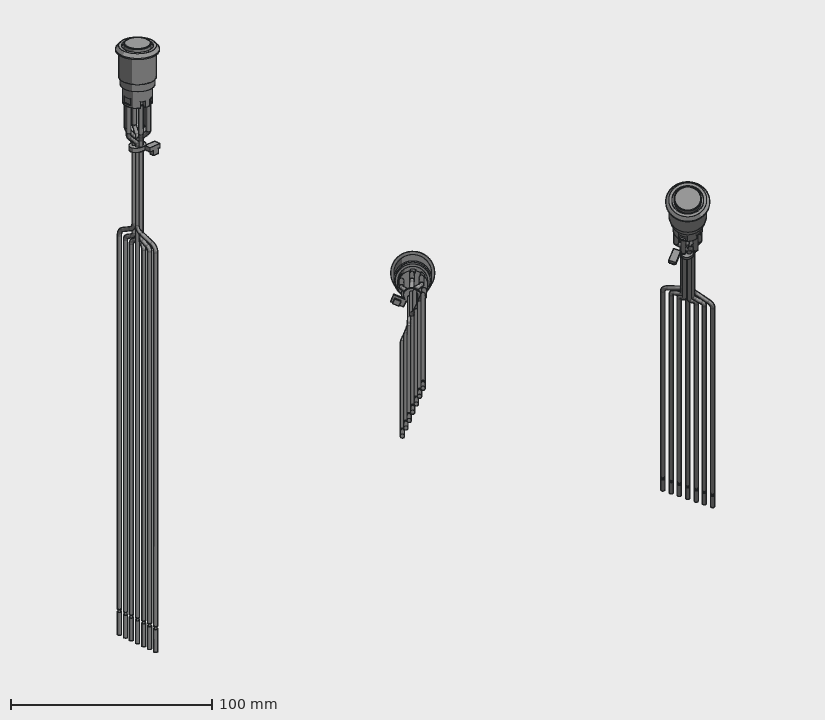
import cadquery as cq
import math


cap_top_dia = 12.8
cap_dia = 13.6
cap_chamfer_depth = 0.4
bezel_depth = 1.4
well_dia = 15.8
well_floor_depth = 2.6
bezel_top_dia = 18.9
flange_dia = 22.0
flange_top_depth = 3.2
flange_bottom_depth = 3.9
barrel_dia = 18.9
barrel_bottom_depth = 18.6
collar_dia = 17.5
collar_bottom_depth = 22.8
skirt_dia = 15.0
skirt_bottom_depth = 32.7

window_width = 4.8
window_height = 3.6
window_top_depth = 27.9
window_recess = 0.9

slot_inner_x = 5.4
slot_inner_y = 1.4
slot_outer_y = 3.9
slot_top_depth = 29.2

terminal_x = 5.15
terminal_side_y = 2.6
terminal_end_y = 6.1
shared_wire_offset = 0.12

sleeve_dia = 2.5
sleeve_bottom_depth = 47.8
joint_overlap = 1.0

wire_dia = 2.2
conductor_dia = 1.5
wire_top_depth = sleeve_bottom_depth - joint_overlap
total_length = 332.7
slug_length = 12.6
bare_length = 1.6
slug_top_depth = total_length - slug_length
insulation_end_depth = slug_top_depth - bare_length
gather_radius = 2.0
fan_radius = 2.5
outer_fan_radius = 4.5
gather_angle = math.radians(45)
fan_angle = math.radians(65)
corner_gather_end = 53.2
end_gather_end = 55.6
middle_pitch = 2.55
outer_row_x = middle_pitch / 2
outer_row_y = 1.2

overall_width = 28.6
outer_tail_x = (overall_width - wire_dia) / 2
second_tail_x = 8.75
third_tail_x = 4.55
outer_fan_end = 111.3
second_fan_end = 112.2
third_fan_end = 113.0

tie_top_depth = 56.4
tie_height = 2.4
tie_radius_x = 3.8
tie_radius_y = 4.7
tie_head_x = (3.0, 6.8)
tie_head_y = (2.0, 9.0)
tie_tail_x = (4.2, 6.8)
tie_tail_y = (4.5, 8.0)
tie_tail_bottom_depth = 61.6


def disc(x, y, dia, top_depth, bottom_depth):
    """Vertical cylinder between two depths."""
    base = cq.Workplane("XY", origin=(x, y, -bottom_depth))
    return base.circle(dia / 2).extrude(bottom_depth - top_depth)


def block(x_range, y_range, top_depth, bottom_depth):
    """Upright box between two depths."""
    return cq.Workplane("XY").box(
        x_range[1] - x_range[0],
        y_range[1] - y_range[0],
        bottom_depth - top_depth,
        centered=False,
    ).translate((x_range[0], y_range[0], -bottom_depth))


def make_head():
    """Cap, bezel, barrel and skirt as one turned body."""
    steps = [
        (cap_top_dia, 0),
        (cap_dia, cap_chamfer_depth),
        (cap_dia, well_floor_depth),
        (well_dia, well_floor_depth),
        (well_dia, bezel_depth),
        (bezel_top_dia, bezel_depth),
        (flange_dia, flange_top_depth),
        (flange_dia, flange_bottom_depth),
        (barrel_dia, flange_bottom_depth),
        (barrel_dia, barrel_bottom_depth),
        (collar_dia, barrel_bottom_depth),
        (collar_dia, collar_bottom_depth),
        (skirt_dia, collar_bottom_depth),
        (skirt_dia, skirt_bottom_depth),
        (0, skirt_bottom_depth),
    ]
    outline = [(0, 0)] + [(dia / 2, -depth) for dia, depth in steps]
    return cq.Workplane("XZ").polyline(outline).close().revolve(360, (0, 0, 0), (0, 1, 0))


def cut_windows(head):
    """Shallow recesses front and back of the skirt, and an open slot beside each corner terminal."""
    half_width = window_width / 2
    outside = skirt_dia / 2
    inside = outside - window_recess
    window_bottom_depth = window_top_depth + window_height
    for y_range in ((-outside, -inside), (inside, outside)):
        head = head.cut(block((-half_width, half_width), y_range, window_top_depth, window_bottom_depth))
    for x_range in ((-outside, -slot_inner_x), (slot_inner_x, outside)):
        for y_range in ((-slot_outer_y, -slot_inner_y), (slot_inner_y, slot_outer_y)):
            head = head.cut(block(x_range, y_range, slot_top_depth, skirt_bottom_depth))
    return head


def bend_points(start, end, end_depth, angle, radius):
    """Points of an S-bend (arc, straight, arc) that carries a wire sideways and ends at end_depth."""
    offset = math.hypot(end[0] - start[0], end[1] - start[1])
    run_x = (end[0] - start[0]) / offset
    run_y = (end[1] - start[1]) / offset
    arc_out = radius * (1 - math.cos(angle))
    arc_down = radius * math.sin(angle)
    half_out = radius * (1 - math.cos(angle / 2))
    half_down = radius * math.sin(angle / 2)
    drop = 2 * arc_down + (offset - 2 * arc_out) / math.tan(angle)
    profile = [
        (0, 0),
        (half_out, half_down),
        (arc_out, arc_down),
        (offset - arc_out, drop - arc_down),
        (offset - half_out, drop - half_down),
        (offset, drop),
    ]
    return [
        cq.Vector(start[0] + run_x * out, start[1] + run_y * out, -(end_depth - drop + down))
        for out, down in profile
    ]


def bend_edges(previous, points):
    """Path edges from the previous point through an S-bend."""
    start, mid_1, arc_end_1, arc_start_2, mid_2, end = points
    return [
        cq.Edge.makeLine(previous, start),
        cq.Edge.makeThreePointArc(start, mid_1, arc_end_1),
        cq.Edge.makeLine(arc_end_1, arc_start_2),
        cq.Edge.makeThreePointArc(arc_start_2, mid_2, end),
    ]


def make_wire(terminal, packed, tail, gather_end, fan_end, radius):
    """One wire from its terminal, through the bundle and the fan, to its stripped end."""
    top = cq.Vector(terminal[0], terminal[1], -wire_top_depth)
    bottom = cq.Vector(tail[0], tail[1], -insulation_end_depth)
    edges = []
    last = top
    if terminal != packed:
        gather = bend_points(terminal, packed, gather_end, gather_angle, gather_radius)
        edges += bend_edges(last, gather)
        last = gather[-1]
    if packed != tail:
        fan = bend_points(packed, tail, fan_end, fan_angle, radius)
        edges += bend_edges(last, fan)
        last = fan[-1]
    edges.append(cq.Edge.makeLine(last, bottom))
    path = cq.Wire.assembleEdges(edges)
    section = cq.Workplane("XY", origin=top.toTuple()).circle(wire_dia / 2)
    insulation = section.sweep(cq.Workplane(path))
    conductor_top_depth = insulation_end_depth - joint_overlap
    conductor_bottom_depth = slug_top_depth + joint_overlap
    conductor = disc(*tail, conductor_dia, conductor_top_depth, conductor_bottom_depth)
    slug = disc(*tail, wire_dia, slug_top_depth, total_length)
    return insulation.union(conductor).union(slug)


def make_tie():
    """Cable tie: a band around the bundle with its locking head and cut tail at one side."""
    tie_bottom_depth = tie_top_depth + tie_height
    band = (
        cq.Workplane("XY", origin=(0, 0, -tie_bottom_depth))
        .ellipse(tie_radius_x, tie_radius_y)
        .extrude(tie_height)
    )
    head = block(tie_head_x, tie_head_y, tie_top_depth, tie_bottom_depth)
    tail = block(tie_tail_x, tie_tail_y, tie_top_depth, tie_tail_bottom_depth)
    return band.union(head).union(tail)


corner_terminals = [(sx * terminal_x, sy * terminal_side_y) for sx in (-1, 1) for sy in (-1, 1)]
front_terminal = (0, -terminal_end_y)
back_terminal = (0, terminal_end_y)

wires = [make_wire(back_terminal, (0, 0), (0, 0), end_gather_end, third_fan_end, fan_radius)]
for side in (-1, 1):
    front_start = (side * shared_wire_offset, -terminal_end_y)
    front_corner = (side * terminal_x, -terminal_side_y)
    back_corner = (side * terminal_x, terminal_side_y)
    front_packed = (side * outer_row_x, -outer_row_y)
    middle_packed = (side * middle_pitch, 0)
    back_packed = (side * outer_row_x, outer_row_y)
    outer_tail = (side * outer_tail_x, 0)
    second_tail = (side * second_tail_x, 0)
    third_tail = (side * third_tail_x, 0)
    wires += [
        make_wire(front_start, front_packed, outer_tail, end_gather_end, outer_fan_end, outer_fan_radius),
        make_wire(front_corner, middle_packed, second_tail, corner_gather_end, second_fan_end, fan_radius),
        make_wire(back_corner, back_packed, third_tail, corner_gather_end, third_fan_end, fan_radius),
    ]

result = cut_windows(make_head())
for x, y in corner_terminals + [front_terminal, back_terminal]:
    sleeve = disc(x, y, sleeve_dia, skirt_bottom_depth - joint_overlap, sleeve_bottom_depth)
    result = result.union(sleeve)
for wire in wires:
    result = result.union(wire, clean=False)
result = result.union(make_tie(), clean=False)